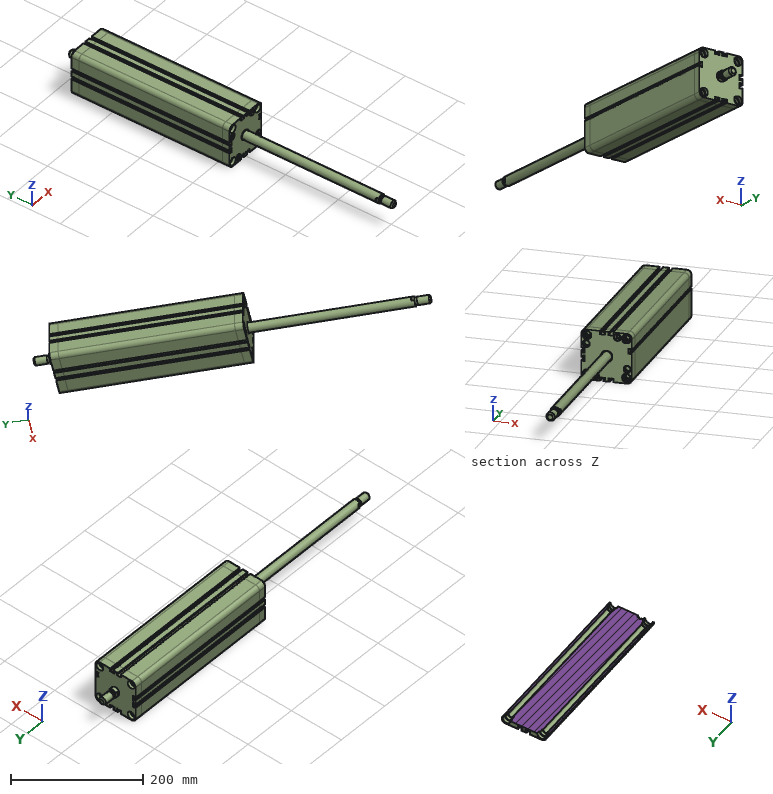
import cadquery as cq

overall_length = 613.0
body_side = 80.0
body_length = 299.0
cap_thickness = 13.5
corner_radius = 8.0

rod_diameter = 16.0
thread_diameter = 13.5
thread_length = 21.0
thread_chamfer = 2.5
relief_diameter = 11.0
relief_length = 3.5
wrench_flat_width = 13.0
wrench_flat_length = 5.5
wrench_flat_runout = 2.0
rod_recess_diameter = 18.0
rod_recess_depth = 2.0
rear_rod_length = 32.0
front_rod_length = overall_length - body_length - rear_rod_length

slot_depth = 5.5
lip_depth = 2.5
rib_head_half_width = 5.0
rib_neck_half_width = 2.5
slot_mouth_half_width = 10.5
slot_floor_half_width = 11.0

sensor_slot_height = 12.0
sensor_mouth_width = 3.5
sensor_floor_width = 8.0

tie_hole_offset = 31.0
tie_hole_diameter = 8.5
tie_thread_diameter = 10.5
tie_thread_depth = 12.0
tie_counterbore_diameter = 13.5
tie_counterbore_depth = 6.0

recess_across = 17.0
recess_out = 32.5
recess_diameter = 11.0
recess_depth = 3.0
inner_bore_diameter = 8.5
inner_bore_depth = 3.0
screw_slot_width = 3.5
screw_slot_length = 5.0
screw_slot_depth = 2.0

half_side = body_side / 2
double_slot_turns = (0, 180, 270)
sensor_slot_turn = 90
slotted_screw_turns = (0, 180)
stepped_recess_turns = (90, 270)


def plane_at(y):
    """XZ plane at the given Y, extruding towards +Y; its local axes are -X and Z."""
    return cq.Workplane(cq.Plane(origin=(0, y, 0), xDir=(-1, 0, 0), normal=(0, 1, 0)))


def about_axis(shape, angle):
    """Turn a shape about the cylinder axis."""
    return shape.rotate((0, 0, 0), (0, 1, 0), angle)


def bar(width, bottom, top, center=0):
    """Full-length bar spanning bottom to top in Z."""
    height = top - bottom
    return cq.Workplane("XY").box(width, body_length, height).translate(
        (center, body_length / 2, bottom + height / 2)
    )


def body_section(start, length):
    block = plane_at(start).rect(body_side, body_side).extrude(length)
    return block.edges("|Y").fillet(corner_radius)


def double_slot():
    """Pair of undercut channels for the +Z side."""
    floor = half_side - slot_depth
    lip = half_side - lip_depth
    channels = bar(2 * slot_mouth_half_width, lip, half_side)
    channels = channels.union(bar(2 * slot_floor_half_width, floor, lip))
    rib = bar(2 * rib_head_half_width, lip, half_side)
    rib = rib.union(bar(2 * rib_neck_half_width, floor, lip))
    return channels.cut(rib)


def sensor_slot():
    """Undercut slot for the +Z side, lying above the axis once turned to +X."""
    floor = half_side - slot_depth
    lip = half_side - lip_depth
    mouth = bar(sensor_mouth_width, lip, half_side, -sensor_slot_height)
    return mouth.union(bar(sensor_floor_width, floor, lip, -sensor_slot_height))


def tie_hole_set(diameter, start, depth):
    spacing = 2 * tie_hole_offset
    corners = plane_at(start).rect(spacing, spacing, forConstruction=True).vertices()
    return corners.circle(diameter / 2).extrude(depth)


def tie_holes():
    """Through holes at the corners, stepped wider at both ends."""
    holes = tie_hole_set(tie_hole_diameter, 0, body_length)
    steps = (
        (tie_thread_diameter, tie_thread_depth),
        (tie_counterbore_diameter, tie_counterbore_depth),
    )
    for diameter, depth in steps:
        holes = holes.union(tie_hole_set(diameter, 0, depth))
        holes = holes.union(tie_hole_set(diameter, body_length - depth, depth))
    return holes


def recess_start(y):
    return plane_at(y).center(-recess_across, recess_out)


def slotted_screw_recess():
    recess = recess_start(0).circle(recess_diameter / 2).extrude(recess_depth)
    slot = recess_start(recess_depth).rect(screw_slot_width, screw_slot_length)
    return recess.union(slot.extrude(screw_slot_depth))


def stepped_recess():
    recess = recess_start(0).circle(recess_diameter / 2).extrude(recess_depth)
    bore = recess_start(recess_depth).circle(inner_bore_diameter / 2)
    return recess.union(bore.extrude(inner_bore_depth))


def rod_recess():
    return plane_at(0).circle(rod_recess_diameter / 2).extrude(rod_recess_depth)


def body():
    tube_length = body_length - 2 * cap_thickness
    block = body_section(0, cap_thickness)
    block = block.union(body_section(cap_thickness, tube_length), clean=False)
    block = block.union(body_section(body_length - cap_thickness, cap_thickness), clean=False)
    cutters = [tie_holes(), rod_recess(), about_axis(sensor_slot(), sensor_slot_turn)]
    cutters += [about_axis(double_slot(), turn) for turn in double_slot_turns]
    cutters += [about_axis(slotted_screw_recess(), turn) for turn in slotted_screw_turns]
    cutters += [about_axis(stepped_recess(), turn) for turn in stepped_recess_turns]
    for cutter in cutters:
        block = block.cut(cutter, clean=False)
    return block


def wrench_flat(shoulder):
    """Cutter for the flat on the +X side, with a sloped run-out."""
    rod_radius = rod_diameter / 2
    floor = wrench_flat_width / 2
    runout_end = shoulder - wrench_flat_length
    profile = cq.Workplane("XY").polyline([
        (floor, shoulder),
        (floor, runout_end + wrench_flat_runout),
        (rod_radius, runout_end),
        (rod_radius, shoulder),
    ]).close()
    return profile.extrude(rod_radius, both=True)


def rod_end(start, tip):
    """Rod from Y = start to a threaded tip at Y = tip, with two wrench flats."""
    thread_start = tip - thread_length
    shoulder = thread_start - relief_length
    rod = plane_at(start).circle(rod_diameter / 2).extrude(shoulder - start)
    flat = wrench_flat(shoulder)
    rod = rod.cut(flat).cut(flat.mirror("YZ"))
    relief = plane_at(shoulder).circle(relief_diameter / 2).extrude(relief_length)
    thread = plane_at(thread_start).circle(thread_diameter / 2).extrude(thread_length)
    thread = thread.faces(">Y").chamfer(thread_chamfer)
    return rod.union(relief).union(thread)


rear_rod = rod_end(body_length, body_length + rear_rod_length)
front_rod = rod_end(-rod_recess_depth, front_rod_length).mirror("XZ")
result = body().union(rear_rod, clean=False).union(front_rod, clean=False)